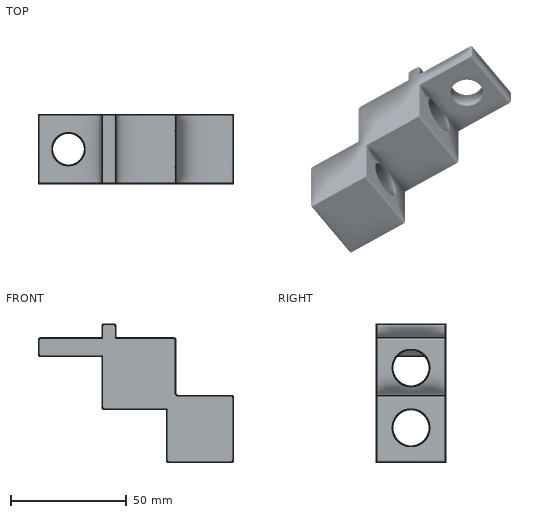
import cadquery as cq

length = 84.5
width = 30.0
height = 60.0
edge_radius = 1.0

body_start = 27.55
rib_end = 33.5
block_start = 55.5
body_end = 59.5
body_bottom = 23.0
block_top = 29.0
tab_bottom = 46.0
tab_top = 54.0

tab_hole_diameter = 14.0
tab_hole_x = 12.9
bore_diameter = 16.0
block_bore_z = 14.95
body_bore_z = 41.0


def stepped_body():
    """Extrude the profile, centred on Y = 0."""
    outline = [
        (0, tab_bottom),
        (body_start, tab_bottom),
        (body_start, body_bottom),
        (block_start, body_bottom),
        (block_start, 0),
        (length, 0),
        (length, block_top),
        (body_end, block_top),
        (body_end, tab_top),
        (rib_end, tab_top),
        (rib_end, height),
        (body_start, height),
        (body_start, tab_top),
        (0, tab_top),
    ]
    return cq.Workplane("XZ").polyline(outline).close().extrude(width / 2, both=True)


def round_edges(body):
    """Round the outer corners and the inner corner above the end block."""
    rounded_corners = [
        (0, tab_bottom),
        (body_start, body_bottom),
        (block_start, 0),
        (length, 0),
        (length, block_top),
        (body_end, block_top),
        (body_end, tab_top),
        (rib_end, height),
        (body_start, height),
        (0, tab_top),
    ]
    for x, z in rounded_corners:
        body = body.edges(cq.NearestToPointSelector((x, 0, z))).fillet(edge_radius)
    return body


def tab_hole():
    """Vertical hole through the tab."""
    thickness = tab_top - tab_bottom
    return (
        cq.Workplane("XY", origin=(tab_hole_x, 0, tab_bottom))
        .circle(tab_hole_diameter / 2)
        .extrude(thickness)
    )


def bore(start_x, end_x, z):
    """Lengthwise bore between two X positions."""
    return (
        cq.Workplane("YZ", origin=(start_x, 0, z))
        .circle(bore_diameter / 2)
        .extrude(end_x - start_x)
    )


result = (
    round_edges(stepped_body())
    .cut(tab_hole())
    .cut(bore(body_start, body_end, body_bore_z))
    .cut(bore(block_start, length, block_bore_z))
)